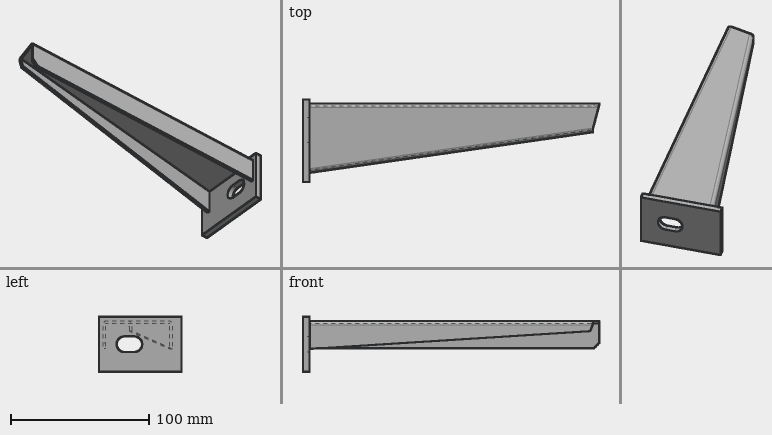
import cadquery as cq
import math

plate_thickness = 5.0
plate_width = 60.0
plate_height = 40.0
slot_length = 18.3
slot_height = 11.2
slot_center_y = -22.1

tip_x = 215.0
sheet = 2.0
bend_radius = 3.0
top_z = plate_height - 3.0
rear_y = -3.0
root_front_y = -53.3
tip_front_y = -23.9
tip_front_x = 210.3

rear_depth = 20.0
front_root_depth = 20.5
front_tip_depth = 7.5
front_lower_tip_x = 208.1
rear_corner_chamfer = 4.3

clearance = 10.8


def make_plate():
    plate = cq.Workplane("XY").box(
        plate_thickness, plate_width, plate_height, centered=False
    ).translate((0, -plate_width, 0))
    slot = (
        cq.Workplane("YZ")
        .center(slot_center_y, plate_height / 2)
        .slot2D(slot_length, slot_height)
        .extrude(plate_thickness)
    )
    return plate.cut(slot)


front_slope = (tip_front_y - root_front_y) / (tip_front_x - plate_thickness)


def front_y(x, inset):
    """Y of the slanted front face at x, moved inward by inset square to the face."""
    return root_front_y + front_slope * (x - plate_thickness) + inset * math.hypot(1, front_slope)


def make_blank():
    blank = (
        cq.Workplane("XY", origin=(0, 0, top_z - front_root_depth))
        .moveTo(plate_thickness, rear_y)
        .lineTo(tip_x, rear_y)
        .lineTo(tip_front_x, front_y(tip_front_x, bend_radius))
        .lineTo(tip_front_x, tip_front_y)
        .lineTo(plate_thickness, root_front_y)
        .close()
        .extrude(front_root_depth)
    )
    return blank.faces(">Z").edges("<Y or >Y").fillet(bend_radius)


def make_channel_core():
    start_x = plate_thickness - clearance
    end_x = tip_x + clearance
    inner_rear_y = rear_y - sheet
    return (
        cq.Workplane("XY", origin=(0, 0, top_z - front_root_depth - clearance))
        .moveTo(start_x, inner_rear_y)
        .lineTo(end_x, inner_rear_y)
        .lineTo(end_x, front_y(end_x, sheet))
        .lineTo(start_x, front_y(start_x, sheet))
        .close()
        .extrude(front_root_depth + clearance - sheet)
    )


def make_front_trim():
    """Space under the tapering lower edge and past the slanted end of the front flange."""
    low_z = top_z - front_root_depth - clearance
    shoulder_z = top_z - sheet
    return (
        cq.Workplane("XZ", origin=(0, rear_y - sheet, 0))
        .moveTo(plate_thickness, top_z - front_root_depth)
        .lineTo(front_lower_tip_x, top_z - front_tip_depth)
        .lineTo(tip_front_x, shoulder_z)
        .lineTo(tip_x + clearance, shoulder_z)
        .lineTo(tip_x + clearance, low_z)
        .lineTo(plate_thickness, low_z)
        .close()
        .extrude(plate_width)
    )


def make_root_trim():
    """Wedge between the plate and the front flange, whose root end is square to its fold."""
    fold_y = front_y(plate_thickness, bend_radius)
    wedge_reach = bend_radius + clearance
    return (
        cq.Workplane("XY", origin=(0, 0, top_z - front_root_depth))
        .moveTo(plate_thickness, fold_y)
        .lineTo(plate_thickness + front_slope * wedge_reach, fold_y - wedge_reach)
        .lineTo(plate_thickness, fold_y - wedge_reach)
        .close()
        .extrude(front_root_depth)
    )


def make_rear_trim():
    """Space under the rear flange, including its bevelled lower corner at the tip."""
    edge_z = top_z - rear_depth
    low_z = edge_z - clearance
    return (
        cq.Workplane("XZ", origin=(0, rear_y, 0))
        .moveTo(plate_thickness, edge_z)
        .lineTo(tip_x - rear_corner_chamfer, edge_z)
        .lineTo(tip_x, edge_z + rear_corner_chamfer)
        .lineTo(tip_x, low_z)
        .lineTo(plate_thickness, low_z)
        .close()
        .extrude(sheet)
    )


def make_arm():
    channel = make_blank().cut(make_channel_core())
    for trim in (make_front_trim(), make_root_trim(), make_rear_trim()):
        channel = channel.cut(trim)
    return channel


plate = make_plate()
arm = make_arm()
result = cq.Compound.makeCompound([plate.val(), *arm.solids().vals()])